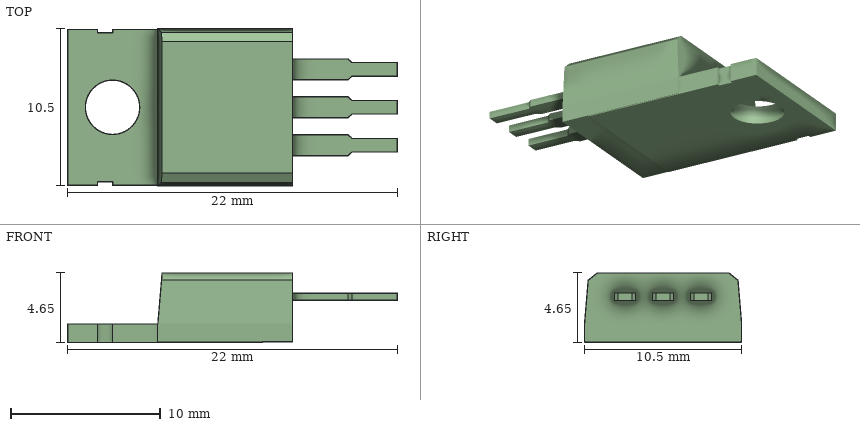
import cadquery as cq

total_length = 22.0
total_height = 4.65

tab_length = 13.0
tab_width = 10.4
tab_thickness = 1.25
hole_diameter = 3.6
hole_x = 3.0
notch_start = 2.0
notch_end = 3.0
notch_depth = 0.22

body_start = 6.0
body_end = 15.0
body_bottom = 0.05
body_width = 10.5
shoulder_z = 4.15
shoulder_width = 10.0
top_width = 8.8
front_lean = 0.29

lead_count = 3
lead_pitch = 2.53
lead_bottom = 2.82
lead_thickness = 0.48
wide_lead_width = 1.4
narrow_lead_width = 0.92
taper_start = 18.7
taper_end = 18.96


def make_tab():
    """Flat plate with a mounting hole and a shallow notch in each long edge."""
    tab = cq.Workplane("XY").rect(tab_length, tab_width).extrude(tab_thickness)
    tab = tab.translate((tab_length / 2, 0, 0))
    hole = cq.Workplane("XY").center(hole_x, 0).circle(hole_diameter / 2).extrude(tab_thickness)
    notches = (
        cq.Workplane("XY")
        .pushPoints([((notch_start + notch_end) / 2, side * tab_width / 2) for side in (-1, 1)])
        .rect(notch_end - notch_start, 2 * notch_depth)
        .extrude(tab_thickness)
    )
    return tab.cut(hole).cut(notches)


def make_body():
    """Overlap of the end profile and the side profile, which drafts the sides and the front."""
    right_half = [
        (body_width / 2, body_bottom),
        (body_width / 2, tab_thickness),
        (shoulder_width / 2, shoulder_z),
        (top_width / 2, total_height),
    ]
    left_half = [(-y, z) for y, z in reversed(right_half)]
    end_profile = (
        cq.Workplane("YZ", origin=(body_start, 0, 0))
        .polyline(right_half + left_half)
        .close()
        .extrude(body_end - body_start)
    )
    side_profile = (
        cq.Workplane("XZ")
        .polyline([
            (body_start, body_bottom),
            (body_end, body_bottom),
            (body_end, total_height),
            (body_start + front_lean, total_height),
            (body_start, tab_thickness),
        ])
        .close()
        .extrude(body_width / 2, both=True)
    )
    return end_profile.intersect(side_profile)


def make_lead(center_y):
    """Flat lead that tapers from its wide root to a narrow tip."""
    upper_edge = [
        (body_end, wide_lead_width / 2),
        (taper_start, wide_lead_width / 2),
        (taper_end, narrow_lead_width / 2),
        (total_length, narrow_lead_width / 2),
    ]
    lower_edge = [(x, -y) for x, y in reversed(upper_edge)]
    return (
        cq.Workplane("XY", origin=(0, center_y, lead_bottom))
        .polyline(upper_edge + lower_edge)
        .close()
        .extrude(lead_thickness)
    )


result = make_tab().union(make_body())
for index in range(lead_count):
    offset_from_middle = index - (lead_count - 1) / 2
    result = result.union(make_lead(offset_from_middle * lead_pitch))